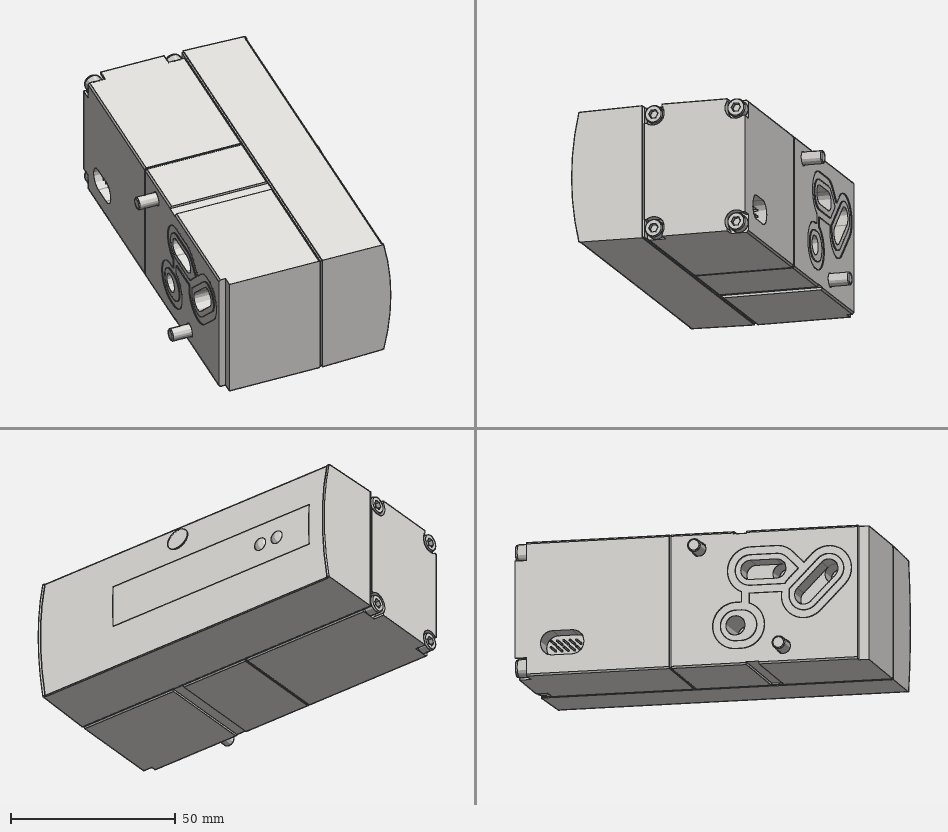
import cadquery as cq
import math


length = 110.4
height = 41.5
body_depth = 32.2
edge_chamfer = 0.5
notch_length = 3.1
notch_depth = 2.2
seam_x = 48.6
seam_width = 0.5
seam_depth = 0.3
slot_width = 4.0
slot_depth = 0.8
upper_slot_x = 70.5
lower_slot_x = 74.4

gap_width = 0.5
gap_depth = 0.3
cover_start = body_depth + gap_width
cover_edge = 53.2
bevel_width = 0.5
bevel_height = 1.1
cover_crown = 55.5
cover_draft = 1.0
rim_width = 1.2
rim_height = 0.2
label_start = 6.5
label_end = 81.6
label_width = 14.4
label_thickness = 0.1

lamp_diameter = 4.0
lamp_rise = 0.7
lamp_positions = (18.8, 25.1)
button_diameter = 7.5
button_rise = 0.1
button_root = 1.1
button_x = 57.6
button_z = 15.5

screw_y_positions = (2.9, 29.3)
screw_z = 17.9
head_diameter = 5.5
head_height = 3.5
head_chamfer_length = 0.7
head_chamfer_width = 0.2
recess_diameter = 7.0
hex_flats = 2.5
hex_depth = 1.7

pin_diameter = 4.0
pin_hole_diameter = 4.4
pin_hole_depth = 2.2
pin_length = 6.4
pin_chamfer = 0.3
pin_positions = ((57.6, 15.8), (84.1, -15.8))

port_radius = 6.0 / 2
island_radius = port_radius + 1.8
groove_width = 2.4
groove_depth = 0.3
outer_radius = island_radius + groove_width
port_slot_depth = 7.7
port_hole_depth = 15.5
port_z = 8.5
level_port = ((73.7, port_z), (81.9, port_z))
diagonal_low = (90.6, 0.0)
diagonal_run = 7.6
diagonal_port = (diagonal_low, (diagonal_low[0] + diagonal_run, diagonal_low[1] + diagonal_run))
round_port = (69.1, -port_z)
round_offset = 1.9
bridge_x = 72.2

connector_x = 14.8
connector_z = -10.9
connector_length = 13.6
connector_width = 7.5
connector_depth = 7.7
contact_pitch = 2.0
contact_diameter = 0.5
contact_tip_depth = 2.0
contact_columns = 5
contact_rows = 2


def box(x0, x1, y0, y1, z0, z1):
    """Axis-aligned block between two opposite corners."""
    return cq.Workplane("XY").box(x1 - x0, y1 - y0, z1 - z0, centered=False).translate((x0, y0, z0))


def face_plane(y=0.0):
    """Sketch plane with local axes X and Z; positive extrusion goes towards -Y."""
    return cq.Workplane("XZ", origin=(0, y, 0))


def disc(x, z, radius, depth):
    return face_plane().center(x, z).circle(radius).extrude(-depth)


def stadium(start, end, radius, depth):
    """Slot-shaped prism around the line from start to end, running from Y = 0 to Y = depth."""
    dx = end[0] - start[0]
    dz = end[1] - start[1]
    angle = math.degrees(math.atan2(dz, dx))
    centre = ((start[0] + end[0]) / 2, (start[1] + end[1]) / 2)
    span = math.hypot(dx, dz) + 2 * radius
    return face_plane().center(*centre).slot2D(span, 2 * radius, angle).extrude(-depth)


def make_body():
    half = height / 2
    body = box(0, length, 0, body_depth, -half, half)
    body = body.edges("|X").chamfer(edge_chamfer)
    body = body.cut(box(length - notch_length, length, 0, notch_depth, -half, half))
    seam_ring = box(seam_x - seam_width / 2, seam_x + seam_width / 2, 0, body_depth, -half, half)
    seam_core = box(0, length, seam_depth, body_depth, seam_depth - half, half - seam_depth)
    body = body.cut(seam_ring.cut(seam_core))
    for slot_x, side in ((upper_slot_x, 1), (lower_slot_x, -1)):
        slot = cq.Workplane("XY").box(slot_width, body_depth, 2 * slot_depth)
        body = body.cut(slot.translate((slot_x, body_depth / 2, side * half)))
    return body


def crown_solid(x0, x1, drop):
    """Prism along X under the crowned, bevelled top of the cover, lowered by drop."""
    half = height / 2
    arc_half = half - bevel_width
    edge = cover_edge - drop
    profile = (
        cq.Workplane("YZ", origin=(x0, 0, 0))
        .moveTo(body_depth, -half)
        .lineTo(edge - bevel_height, -half)
        .lineTo(edge, -arc_half)
        .threePointArc((cover_crown - drop, 0), (edge, arc_half))
        .lineTo(edge - bevel_height, half)
        .lineTo(body_depth, half)
        .close()
    )
    return profile.extrude(x1 - x0)


def make_cover():
    half = height / 2
    drafted = (
        cq.Workplane("XZ", origin=(length / 2, cover_start, 0))
        .rect(length, height)
        .extrude(-(cover_crown - cover_start), taper=cover_draft)
    )
    crown = crown_solid(0, length, rim_height)
    for x0, x1 in ((0, rim_width), (length - rim_width, length)):
        crown = crown.union(crown_solid(x0, x1, 0))
    label = crown_solid(label_start, label_end, rim_height - label_thickness)
    label_bounds = box(0, length, cover_start, cover_crown, -label_width / 2, label_width / 2)
    crown = crown.union(label.intersect(label_bounds))
    neck = box(gap_depth, length - gap_depth, body_depth, cover_start, gap_depth - half, half - gap_depth)
    return drafted.intersect(crown).union(neck)


def make_lamp(x):
    """Spherical cap standing on the crown line."""
    radius = ((lamp_diameter / 2) ** 2 + lamp_rise**2) / (2 * lamp_rise)
    ball = cq.Workplane("XY").sphere(radius).translate((x, cover_crown + lamp_rise - radius, 0))
    return ball.intersect(box(0, length, cover_start, cover_crown + lamp_rise, -radius, radius))


def make_button():
    """Low disc square to the crowned surface."""
    arc_half = height / 2 - bevel_width
    sagitta = cover_crown - cover_edge
    crown_radius = (arc_half**2 + sagitta**2) / (2 * sagitta)
    tilt = math.asin(button_z / crown_radius)
    normal = (0, math.cos(tilt), math.sin(tilt))
    axis_start = (button_x, cover_crown - crown_radius, 0)
    surface = cq.Workplane(cq.Plane(origin=axis_start, xDir=(1, 0, 0), normal=normal))
    base = surface.workplane(offset=crown_radius - button_root)
    return base.circle(button_diameter / 2).extrude(button_root + button_rise)


def end_plane():
    """Sketch plane on the -X end with local axes Y and Z; extrusion goes towards +X."""
    return cq.Workplane("YZ")


def make_screw_recess(y, z):
    """Round recess opened towards both nearby outer faces over the width of the head."""
    recess = end_plane().center(y, z).circle(recess_diameter / 2).extrude(head_height)
    opening = cq.Workplane("XY").box(head_height, head_diameter, head_diameter)
    y_side = -1 if y < body_depth / 2 else 1
    z_side = math.copysign(1, z)
    half_head = head_diameter / 2
    for y_shift, z_shift in ((y_side, 0), (0, z_side), (y_side, z_side)):
        shifted = (head_height / 2, y + y_shift * half_head, z + z_shift * half_head)
        recess = recess.union(opening.translate(shifted))
    return recess.intersect(box(0, head_height, 0, body_depth, -height / 2, height / 2))


def make_screw_head(y, z):
    head = end_plane().center(y, z).circle(head_diameter / 2).extrude(head_height)
    head = head.faces("<X").edges().chamfer(head_chamfer_length, head_chamfer_width)
    corner_diameter = hex_flats / math.cos(math.pi / 6)
    return head.cut(end_plane().center(y, z).polygon(6, corner_diameter).extrude(hex_depth))


def level_outline(radius, depth):
    """Outline around the level port; its right end runs on at 45 degrees into the diagonal port."""
    (x0, z), (x1, _) = level_port
    half_root = math.sqrt(0.5)
    tangent = (x1 + radius * half_root, z + radius * half_root)
    meeting = (x1 + radius * (1 + math.sqrt(2)), z - radius)
    mid_angle = 3 * math.pi / 8
    return (
        face_plane()
        .moveTo(x0, z + radius)
        .lineTo(x1, z + radius)
        .threePointArc((x1 + radius * math.cos(mid_angle), z + radius * math.sin(mid_angle)), tangent)
        .lineTo(*meeting)
        .lineTo(x0, z - radius)
        .threePointArc((x0 - radius, z), (x0, z + radius))
        .close()
        .extrude(-depth)
    )


def diagonal_island():
    """Island around the diagonal port with a sharp corner next to the level port."""
    x, z = diagonal_low
    r = island_radius
    half_root = math.sqrt(0.5)
    corner = [
        (x, z),
        (x - r, z),
        (x - r, z + r * math.tan(math.pi / 8)),
        (x - r * half_root, z + r * half_root),
    ]
    return stadium(*diagonal_port, r, groove_depth).union(
        face_plane().polyline(corner).close().extrude(-groove_depth)
    )


def make_gasket_groove():
    round_end = (round_port[0] + round_offset, round_port[1])
    diagonal_outer = stadium(*diagonal_port, outer_radius, groove_depth)
    bridge = box(
        bridge_x - groove_width / 2, bridge_x + groove_width / 2,
        0, groove_depth,
        round_port[1] + island_radius, port_z - island_radius,
    )
    groove = level_outline(outer_radius, groove_depth).union(diagonal_outer).union(bridge)
    groove = groove.union(stadium(round_port, round_end, outer_radius, groove_depth))
    islands = (
        level_outline(island_radius, groove_depth).cut(diagonal_outer),
        diagonal_island(),
        stadium(round_port, round_end, island_radius, groove_depth),
    )
    for island in islands:
        groove = groove.cut(island)
    return groove


def make_ports():
    ports = [disc(*round_port, port_radius, port_hole_depth)]
    for start, end in (level_port, diagonal_port):
        ports.append(stadium(start, end, port_radius, port_slot_depth))
        hole_length = port_hole_depth - port_slot_depth
        ports.append(disc(*end, port_radius, hole_length).translate((0, port_slot_depth, 0)))
    return ports


def make_connector_pocket():
    half_run = (connector_length - connector_width) / 2
    start = (connector_x - half_run, connector_z)
    end = (connector_x + half_run, connector_z)
    return stadium(start, end, connector_width / 2, connector_depth)


def make_contacts():
    return (
        face_plane(connector_depth)
        .center(connector_x, connector_z)
        .rarray(contact_pitch, contact_pitch, contact_columns, contact_rows)
        .circle(contact_diameter / 2)
        .extrude(connector_depth - contact_tip_depth)
    )


def make_pin(x, z):
    """Pin standing on the floor of its clearance hole."""
    base = face_plane(pin_hole_depth).center(x, z)
    pin = base.circle(pin_diameter / 2).extrude(pin_hole_depth + pin_length)
    return pin.faces("<Y").chamfer(pin_chamfer)


result = make_body().union(make_cover())

for lamp_x in lamp_positions:
    result = result.union(make_lamp(lamp_x))
result = result.union(make_button())

for screw_y in screw_y_positions:
    for side in (-1, 1):
        result = result.cut(make_screw_recess(screw_y, side * screw_z))
        result = result.union(make_screw_head(screw_y, side * screw_z))

result = result.cut(make_gasket_groove())
for port in make_ports():
    result = result.cut(port)
result = result.cut(make_connector_pocket()).union(make_contacts())

for pin_x, pin_z in pin_positions:
    result = result.cut(disc(pin_x, pin_z, pin_hole_diameter / 2, pin_hole_depth))
    result = result.union(make_pin(pin_x, pin_z))